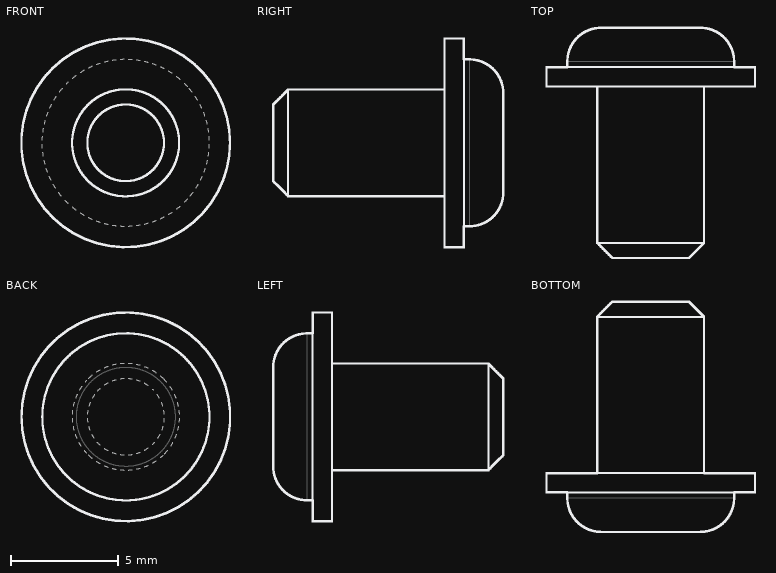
import cadquery as cq

total_length = 10.75
shank_length = 8.0
flange_thickness = 0.9
head_height = total_length - shank_length - flange_thickness
head_rim_height = 0.26
tip_chamfer = 0.71

shank_diameter = 5.0
flange_diameter = 9.75
head_diameter = 7.8

head_edge_radius = head_height - head_rim_height


def disc(diameter, start_y, length):
    """Cylinder about the Y axis, running from start_y toward +Y."""
    return cq.Workplane("XZ").workplane(offset=-start_y).circle(diameter / 2).extrude(-length)


shank = disc(shank_diameter, -shank_length, shank_length).faces("<Y").chamfer(tip_chamfer)

flange = disc(flange_diameter, 0, flange_thickness)

head = disc(head_diameter, flange_thickness, head_height).faces(">Y").edges().fillet(head_edge_radius)

result = shank.union(flange).union(head)